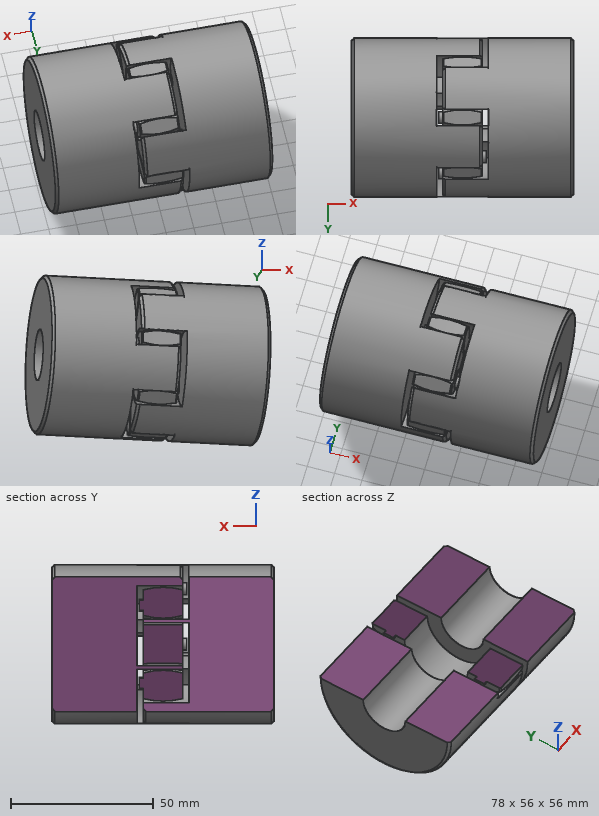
import cadquery as cq
import math


overall_length = 78.0
outer_radius = 28.0
bore_radius = 9.0
hub_gap = 18.1
jaw_tip_x = 7.0
hub_chamfer = 1.0
jaw_count = 4
jaw_inner_radius = 16.5
trim_radius = 1.2 * outer_radius

arm_count = 2 * jaw_count
arm_angle = 360 / arm_count
space_outer_half = 2.9
space_middle_half = 4.6
space_inner_half = 4.0

spider_width = 2 * jaw_tip_x
clearance = 0.2
spider_radius = 27.5
spider_chamfer = 0.5
ring_outer_radius = jaw_inner_radius - clearance
ring_inner_radius = 13.5
crown_radius = 29.65
arm_bevel_width = 0.8
arm_bevel_depth = 0.15

pad_diameter = 4.2
pad_height = 1.4
pad_circle_radius = 19.4


def leg(hypotenuse, side):
    """Other short side of a right-angled triangle."""
    return math.sqrt(hypotenuse**2 - side**2)


def polar(radius, angle):
    """Y, Z position at an angle in degrees, measured from +Y toward +Z."""
    return (radius * math.cos(math.radians(angle)), radius * math.sin(math.radians(angle)))


def along_arm(reach, offset, angle):
    """Y, Z position at a reach along an arm centreline and an offset to its side."""
    y, z = polar(reach, angle)
    side_y, side_z = polar(offset, angle + 90)
    return (y + side_y, z + side_z)


side_outer_reach = leg(outer_radius, space_outer_half)
side_inner_reach = leg(jaw_inner_radius, space_inner_half)
side_middle_reach = (side_outer_reach + side_inner_reach) / 2


def make_cylinder(radius, start_x, end_x):
    return cq.Workplane("YZ").workplane(offset=start_x).circle(radius).extrude(end_x - start_x)


def make_jaw(start_angle):
    """Jaw between the arm at start_angle and the next arm, with hollow sides, running past the rim."""
    end_angle = start_angle + arm_angle
    return (
        cq.Workplane("YZ")
        .workplane(offset=-hub_gap / 2)
        .moveTo(*along_arm(side_inner_reach, space_inner_half, start_angle))
        .threePointArc(
            along_arm(side_middle_reach, space_middle_half, start_angle),
            along_arm(side_outer_reach, space_outer_half, start_angle),
        )
        .lineTo(*polar(trim_radius, start_angle + arm_angle / 4))
        .lineTo(*polar(trim_radius, end_angle - arm_angle / 4))
        .lineTo(*along_arm(side_outer_reach, -space_outer_half, end_angle))
        .threePointArc(
            along_arm(side_middle_reach, -space_middle_half, end_angle),
            along_arm(side_inner_reach, -space_inner_half, end_angle),
        )
        .threePointArc(
            polar(jaw_inner_radius, start_angle + arm_angle / 2),
            along_arm(side_inner_reach, space_inner_half, start_angle),
        )
        .close()
        .extrude(hub_gap / 2 + jaw_tip_x)
    )


def make_hub(turn):
    """Hub at the -X end, turned about Z by the given angle."""
    back_x = -overall_length / 2
    hub = make_cylinder(outer_radius, back_x, jaw_tip_x).edges().chamfer(hub_chamfer)
    removed = make_cylinder(trim_radius, -hub_gap / 2, jaw_tip_x)
    for index in range(jaw_count):
        removed = removed.cut(make_jaw(2 * index * arm_angle))
    hub = hub.cut(removed)
    hub = hub.cut(make_cylinder(bore_radius, back_x, -hub_gap / 2))
    return hub.rotate((0, 0, 0), (0, 0, 1), turn)


def make_arm():
    """Arm along +Y, bulging along its reach and crowned along X."""
    axis_z = space_middle_half - clearance - crown_radius
    bevel_reach = spider_radius - arm_bevel_depth
    bevel_half = space_outer_half - clearance
    one_side = (
        cq.Workplane("YZ")
        .moveTo(side_inner_reach - clearance, axis_z)
        .lineTo(side_inner_reach - clearance, space_inner_half - clearance)
        .threePointArc(
            (side_middle_reach, space_middle_half - clearance),
            (bevel_reach, bevel_half),
        )
        .lineTo(spider_radius, bevel_half - arm_bevel_width)
        .lineTo(spider_radius, axis_z)
        .close()
        .revolve(360, (0, axis_z, 0), (1, axis_z, 0))
    )
    return one_side.intersect(one_side.mirror("XY"))


def make_pad(side, angle):
    """Pad on the -X (side -1) or +X (side 1) face of the spider."""
    return (
        cq.Workplane("YZ")
        .workplane(offset=side * spider_width / 2)
        .center(*polar(pad_circle_radius, angle))
        .circle(pad_diameter / 2)
        .extrude(side * pad_height)
    )


def make_spider():
    half_width = spider_width / 2
    spider = make_cylinder(ring_outer_radius, -half_width, half_width)
    arm = make_arm()
    for index in range(arm_count):
        spider = spider.union(arm.rotate((0, 0, 0), (1, 0, 0), index * arm_angle))
    envelope = make_cylinder(spider_radius, -half_width, half_width)
    envelope = envelope.edges().chamfer(spider_chamfer)
    spider = spider.intersect(envelope)
    spider = spider.cut(make_cylinder(ring_inner_radius, -half_width, half_width))
    for index in range(arm_count):
        side = -1 if index % 2 == 0 else 1
        spider = spider.union(make_pad(side, index * arm_angle))
    return spider


hubs = [make_hub(turn) for turn in (0, 180)]
spider = make_spider()

result = cq.Compound.makeCompound([*[hub.val() for hub in hubs], spider.val()])